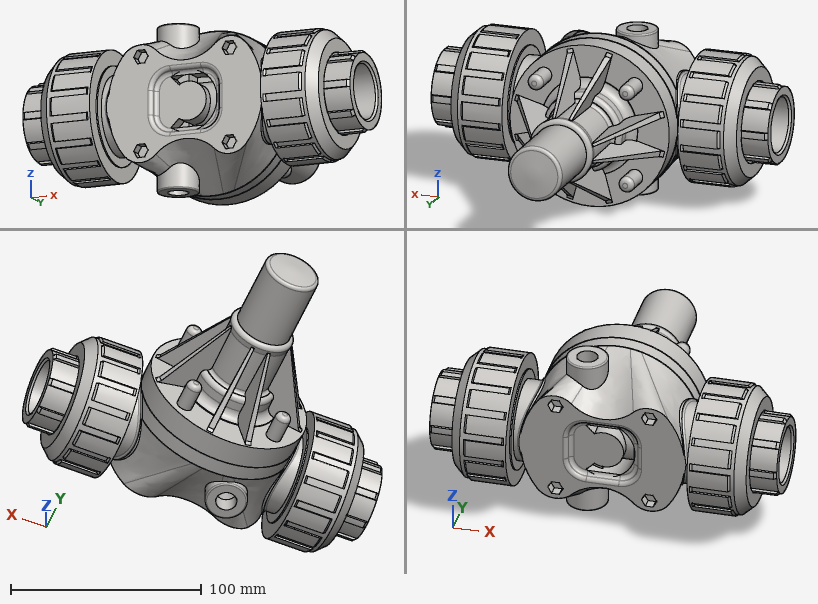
import cadquery as cq
import math


half_length = 94.0

body_radius = 44.45
seam_radius = 44.2
flange_top = 35.5
flange_bottom = 22.4
seam_bottom = 14.0
foot_face = -22.2
lobe_radius = 12.4
lobe_top = 31.8
waist_height = 21.2
body_corner_x = 11.8

pipe_radius = 43.6 / 2
pipe_seat_radius = 45.0
pipe_blend = 1.1
collar_radius = 53.7 / 2
collar_inner_x = 48.3
nut_radius = 70.7 / 2
nut_root_radius = 68.5 / 2
nut_face_radius = 29.3
nut_inner_x = 49.0
nut_outer_x = 79.7
nut_cone_x = 74.2
pad_outer_x = 72.2
groove_inner_x = 50.4
ramp_length = 1.1
nut_groove_count = 16
nut_groove_width = 4.0
nut_recess_radius = 44.0 / 2
nut_recess_depth = 1.0

tail_radius = 41.0 / 2
tail_rib_radius = 43.6 / 2
tail_rib_count = 8
tail_rib_width = 3.8
tail_ramp_length = 1.5
bore_radius = 29.7 / 2
bore_depth = 18.8
bore_chamfer = 1.1

port_x = -13.7
port_radius = 22.2 / 2
port_edge_round = 0.8
port_hole_radius = 11.0 / 2
port_hole_depth = 9.4
port_tip_depth = 3.4

base_radius = 44.0 / 2
base_foot_radius = 53.7 / 2
base_foot_top = 41.0
base_shoulder = 48.9
base_round = 3.0
neck_radius = 17.1
neck_blend = 2.0
sleeve_radius = 35.5 / 2
sleeve_bottom = 76.1
sleeve_top = 82.0
sleeve_round = 2.6
cap_radius = 30.0 / 2
cap_rim = 120.8
cap_top = 122.0
cap_round = 1.9
web_offset_angle = 15.0
web_foot_radius = 41.0
web_flare_radius = 42.8
web_flare_height = 1.1
web_top = 78.0
web_top_width = 1.5
web_foot_width = 3.4

screw_offset = 25.4
pin_radius = 8.5 / 2
pin_top = 51.0
pin_round = 2.8
hex_diameter = 8.3
hex_depth = 5.6

window_half_x = 21.2
window_half_z = 19.0
window_corner = 12.4
window_roll = 2.54
window_draft = 18.0
window_depth = 3.8
trench_outer_radius = 16.7
trench_inner_radius = 10.5
trench_left_x = -2.6
trench_floor = 0.0
notch_floor = -11.3
notch_offset = 4.0
duct_radius = 13.2


def revolve_x(points):
    """Solid of revolution about X from (x, radius) points."""
    return cq.Workplane("XY").polyline(points).close().revolve(360, (0, 0, 0), (1, 0, 0))


def y_cylinder(radius, y_from, y_to):
    return cq.Workplane("XZ", origin=(0, y_from, 0)).circle(radius).extrude(y_from - y_to)


def spokes_x(count, width, first_angle):
    """Bars through X, spread evenly around it; they limit a ring to separate strips."""
    bars = None
    for i in range(count // 2):
        bar = cq.Workplane("XY").box(3 * half_length, 2 * half_length, width)
        bar = bar.rotate((0, 0, 0), (1, 0, 0), first_angle + i * 360 / count)
        bars = bar if bars is None else bars.union(bar)
    return bars


lobe_z = lobe_top - lobe_radius
lobe_x = math.sqrt((body_radius - lobe_radius) ** 2 - lobe_z ** 2)
waist_rise = waist_height - lobe_z
waist_radius = (lobe_x ** 2 + waist_rise ** 2 - lobe_radius ** 2) / (2 * (lobe_radius - waist_rise))
waist_z = waist_height + waist_radius
lobe_end_scale = body_radius / (body_radius - lobe_radius)
lobe_end = (lobe_x * lobe_end_scale, lobe_z * lobe_end_scale)
waist_share = waist_radius / (waist_radius + lobe_radius)
waist_end = (lobe_x * waist_share, waist_z + (lobe_z - waist_z) * waist_share)


def six_arc_wire(y, side_end, side_mid, lobe_mid, lobe_inner, waist_mid):
    """Closed wire of arcs at height y, symmetric about X and Z; points are (x, z)."""
    def point(xz, sx, sz):
        return cq.Vector(sx * xz[0], y, sz * xz[1])

    def arc(start, middle, end):
        return cq.Edge.makeThreePointArc(start, middle, end)

    edges = []
    for s in (1, -1):
        edges.append(arc(point(side_end, s, -s), point(side_mid, s, s), point(side_end, s, s)))
        edges.append(arc(point(side_end, s, s), point(lobe_mid, s, s), point(lobe_inner, s, s)))
        edges.append(arc(point(lobe_inner, s, s), point(waist_mid, s, s), point(lobe_inner, -s, s)))
        edges.append(arc(point(lobe_inner, -s, s), point(lobe_mid, -s, s), point(side_end, -s, s)))
    return cq.Wire.assembleEdges(edges)


def on_ring(x):
    return (x, math.sqrt(body_radius ** 2 - x ** 2))


def make_body():
    foot = six_arc_wire(foot_face, lobe_end, (body_radius, 0), (lobe_x, lobe_top),
                        waist_end, (0, waist_height))
    ring = six_arc_wire(seam_bottom, on_ring(body_corner_x), (body_radius, 0),
                        on_ring(body_corner_x * 0.75), on_ring(body_corner_x / 2), (0, body_radius))
    taper = cq.Workplane(obj=cq.Solid.makeLoft([foot, ring], True))
    return taper.union(y_cylinder(seam_radius, seam_bottom, flange_bottom))


def make_pipe():
    """Flow pipe on the -X side, with a blended collar where it leaves the round body."""
    reach = 2 * pipe_radius
    pipe = cq.Workplane("YZ").circle(pipe_radius).extrude(-nut_inner_x)
    crossing = y_cylinder(pipe_seat_radius, -reach, reach).union(pipe)
    crossing = crossing.edges("%BSPLINE").fillet(pipe_blend)
    collar = cq.Workplane("YZ").circle(pipe_radius + pipe_blend).extrude(-nut_inner_x)
    below_foot = cq.Workplane("XY").box(4 * reach, reach, 2 * reach).translate((0, foot_face - reach / 2, 0))
    return crossing.intersect(collar).cut(below_foot)


def make_nut():
    nut = revolve_x([
        (nut_inner_x, 0), (nut_inner_x, nut_radius),
        (pad_outer_x - ramp_length, nut_radius), (pad_outer_x, nut_root_radius),
        (nut_cone_x, nut_root_radius), (nut_outer_x, nut_face_radius),
        (nut_outer_x, nut_recess_radius),
        (nut_outer_x - nut_recess_depth, nut_recess_radius), (nut_outer_x - nut_recess_depth, 0),
    ])
    clear_radius = 2 * nut_radius - nut_root_radius
    groove_ring = revolve_x([
        (nut_cone_x, nut_root_radius), (groove_inner_x + ramp_length, nut_root_radius),
        (groove_inner_x, nut_radius), (groove_inner_x, clear_radius), (nut_cone_x, clear_radius),
    ])
    half_pitch = 180 / nut_groove_count
    return nut.cut(groove_ring.intersect(spokes_x(nut_groove_count, nut_groove_width, half_pitch)))


def make_tail():
    tail = revolve_x([(nut_inner_x, 0), (nut_inner_x, tail_radius),
                      (half_length, tail_radius), (half_length, 0)])
    rib_ring = revolve_x([
        (nut_inner_x, tail_radius / 2), (nut_inner_x, tail_rib_radius),
        (half_length - tail_ramp_length, tail_rib_radius),
        (half_length, tail_radius), (half_length, tail_radius / 2),
    ])
    return tail.union(rib_ring.intersect(spokes_x(tail_rib_count, tail_rib_width, 0)))


def make_bore():
    floor_x = half_length - bore_depth
    return revolve_x([(floor_x, 0), (floor_x, bore_radius), (half_length - bore_chamfer, bore_radius),
                      (half_length, bore_radius + bore_chamfer), (half_length, 0)])


def make_flow_end():
    """Collar, union nut and bored pipe tail on the +X side."""
    collar = revolve_x([(collar_inner_x, 0), (collar_inner_x, collar_radius),
                        (nut_inner_x, collar_radius), (nut_inner_x, 0)])
    return make_nut().union(collar).union(make_tail()).cut(make_bore())


def make_port():
    port = cq.Workplane("XY").center(port_x, 0).circle(port_radius).extrude(body_radius)
    return port.faces(">Z").edges().fillet(port_edge_round)


def make_port_hole():
    hole_floor = body_radius - port_hole_depth
    profile = [(0, body_radius), (port_hole_radius, body_radius), (port_hole_radius, hole_floor),
               (0, hole_floor - port_tip_depth)]
    hole = cq.Workplane("XZ").polyline(profile).close().revolve(360, (0, 0, 0), (0, 1, 0))
    return hole.translate((port_x, 0, 0))


def make_bonnet_core():
    """Flange, base, neck, sleeve and cap as one revolved profile of (radius, y)."""
    foot_flare = base_foot_radius - base_radius
    bulge = 1 - math.sqrt(0.5)
    profile = (
        cq.Workplane("XY")
        .moveTo(0, flange_bottom)
        .lineTo(body_radius, flange_bottom)
        .lineTo(body_radius, flange_top)
        .lineTo(base_foot_radius, flange_top)
        .lineTo(base_foot_radius, base_foot_top - foot_flare)
        .radiusArc((base_radius, base_foot_top), foot_flare)
        .lineTo(base_radius, base_shoulder - base_round)
        .threePointArc((base_radius - base_round * bulge, base_shoulder - base_round * bulge),
                       (base_radius - base_round, base_shoulder))
        .lineTo(neck_radius + neck_blend, base_shoulder)
        .threePointArc((neck_radius + neck_blend * bulge, base_shoulder + neck_blend * bulge),
                       (neck_radius, base_shoulder + neck_blend))
        .lineTo(neck_radius, sleeve_bottom)
        .lineTo(sleeve_radius, sleeve_top - sleeve_round)
        .threePointArc((sleeve_radius - sleeve_round * bulge, sleeve_top - sleeve_round * bulge),
                       (sleeve_radius - sleeve_round, sleeve_top))
        .lineTo(cap_radius, sleeve_top)
        .lineTo(cap_radius, cap_rim - cap_round)
        .threePointArc((cap_radius - cap_round * bulge, cap_rim - cap_round * bulge),
                       (cap_radius - cap_round, cap_rim))
        .lineTo(0, cap_top)
        .close()
    )
    return profile.revolve(360, (0, 0, 0), (0, 1, 0))


def make_web():
    """Bonnet web in the +X direction, growing thicker toward the flange."""
    side = (
        cq.Workplane("XY")
        .polyline([(0, flange_top), (web_flare_radius, flange_top),
                   (web_foot_radius, flange_top + web_flare_height),
                   (sleeve_radius, web_top), (0, web_top)])
        .close()
        .extrude(web_foot_width, both=True)
    )
    taper = (
        cq.Workplane("YZ")
        .polyline([(flange_top, -web_foot_width / 2), (flange_top, web_foot_width / 2),
                   (sleeve_top, web_top_width / 2), (sleeve_top, -web_top_width / 2)])
        .close()
        .extrude(body_radius)
    )
    return side.intersect(taper)


def make_bonnet():
    bonnet = make_bonnet_core()
    web = make_web()
    for quarter in range(4):
        for offset in (-web_offset_angle, web_offset_angle):
            bonnet = bonnet.union(web.rotate((0, 0, 0), (0, 1, 0), 90 * quarter + offset))
    pin = y_cylinder(pin_radius, flange_bottom, pin_top).faces(">Y").edges().fillet(pin_round)
    for x in (-screw_offset, screw_offset):
        for z in (-screw_offset, screw_offset):
            bonnet = bonnet.union(pin.translate((x, 0, z)))
    return bonnet


def make_window():
    """Rounded pocket with drafted walls, rolled over at the mouth and rounded at the floor."""
    mouth_growth = window_roll * math.tan(math.radians(90 - window_draft) / 2)
    half_x = window_half_x - mouth_growth
    half_z = window_half_z - mouth_growth
    mouth = cq.Sketch().rect(2 * half_x, 2 * half_z).vertices().fillet(window_corner - mouth_growth)
    pocket = cq.Workplane("XZ", origin=(0, foot_face, 0)).placeSketch(mouth)
    pocket = pocket.extrude(-window_depth, taper=window_draft).faces(">Y").edges().fillet(window_roll)
    front = cq.Workplane("XY").box(4 * window_half_x, window_depth, 4 * window_half_z)
    cutter = front.translate((0, foot_face - window_depth / 2, 0)).union(pocket)
    mouth_zone = cq.selectors.BoxSelector(
        (-window_half_x, foot_face - window_roll, -window_half_z),
        (window_half_x, foot_face + window_roll / 10, window_half_z))
    return cutter.edges(mouth_zone).fillet(window_roll)


def make_trench():
    """Deep trench around a central post, interrupted by the round back of the duct."""
    floor_y = foot_face + window_depth
    reach = 2 * trench_outer_radius
    ring = y_cylinder(trench_outer_radius, floor_y, trench_floor)
    ring = ring.cut(y_cylinder(trench_inner_radius, floor_y, trench_floor))
    deep = cq.Workplane("XY").box(reach, reach, 2 * reach).translate((trench_left_x + reach / 2, 0, 0))
    duct = cq.Workplane("YZ").circle(duct_radius).extrude(reach)
    notch = (
        cq.Workplane("XZ", origin=(0, floor_y, 0))
        .polyline([(reach, reach), (notch_offset - reach, reach), (notch_offset, 0), (reach, 0)])
        .close()
        .extrude(floor_y - notch_floor)
    )
    notches = ring.intersect(notch.union(notch.mirror("XY")))
    return ring.intersect(deep).cut(duct).union(notches.cut(duct))


def make_hex_sockets():
    corners = [(x, z) for x in (-screw_offset, screw_offset) for z in (-screw_offset, screw_offset)]
    plane = cq.Workplane("XZ", origin=(0, foot_face, 0)).pushPoints(corners)
    return plane.polygon(6, hex_diameter).extrude(-hex_depth)


pipe = make_pipe()
result = make_body().union(pipe).union(pipe.mirror("YZ"))
port = make_port()
result = result.union(port).union(port.mirror("XY"))
result = result.union(make_bonnet())
flow_end = make_flow_end()
result = result.union(flow_end).union(flow_end.mirror("YZ"))
port_hole = make_port_hole()
result = result.cut(port_hole).cut(port_hole.mirror("XY"))
result = result.cut(make_window()).cut(make_trench()).cut(make_hex_sockets())